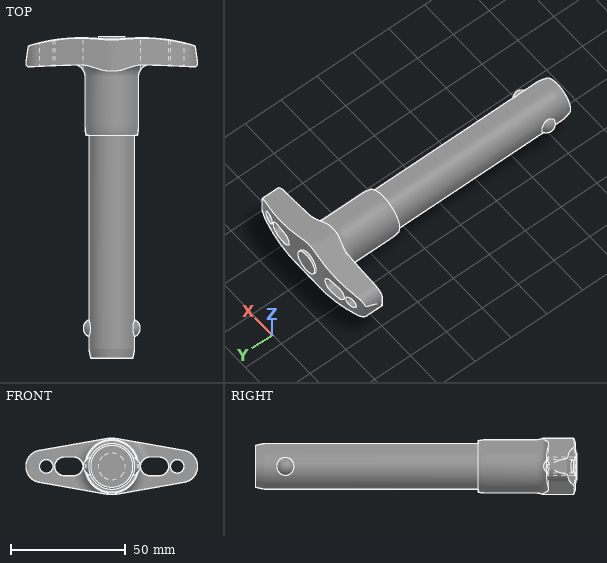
import math

import cadquery as cq


overall_length = 140.1
shank_radius = 10.0
shank_length = 97.0
tip_height = 4.2
tip_radius = 9.15
tip_bulge = 0.1
collar_radius = 11.7
shoulder_radius = 11.25
shoulder_edge_radius = 11.55
shoulder_edge_y = 1.65
shoulder_taper_top_y = 3.8
flare_radius = 5.0
collar_root_depth = 1.0

ball_radius = 4.0
ball_offset = 8.4
ball_to_tip = 13.1
ball_y = ball_to_tip - shank_length

handle_half_length = 37.4
handle_half_depth = 12.33
end_radius = 7.1
side_taper = math.radians(10.0)

button_radius = 5.85
button_top_y = overall_length - shank_length
button_height_over_crest = 0.45
crest_y = button_top_y - button_height_over_crest
crest_x = 12.8
dip_depth = 0.6
crown_radius = 78.0
end_to_button_top = 13.3
underside_end_y = button_top_y - end_to_button_top
underside_rise = 1.1
underside_y = underside_end_y + underside_rise
underside_hollow_reach = 36.0
end_draft = math.radians(8.0)
end_draft_start_height = 1.9
end_draft_start_y = underside_end_y + end_draft_start_height
lower_corner_radius = 1.6
upper_corner_radius = 0.7
cross_crown_radius = 150.0

slot_x = 18.65
slot_length = 12.2
slot_width = 8.0
hole_x = 28.5
hole_diameter = 5.8


def prism_along_pin(outline):
    """Extrude an XZ outline through the full height of the handle and collar."""
    return outline.extrude(-button_top_y)


def handle_outline():
    """Tapered diamond outline with rounded middle corners and full-round ends."""
    end_x = handle_half_length - end_radius
    side_distance = end_radius + end_x * math.sin(side_taper)
    middle_radius = (side_distance - handle_half_depth * math.cos(side_taper)) / (1 - math.cos(side_taper))
    middle_z = handle_half_depth - middle_radius
    middle_tangent = (
        middle_radius * math.sin(side_taper),
        middle_z + middle_radius * math.cos(side_taper),
    )
    end_tangent = (
        end_x + end_radius * math.sin(side_taper),
        end_radius * math.cos(side_taper),
    )
    return (
        cq.Workplane("XZ")
        .moveTo(-middle_tangent[0], middle_tangent[1])
        .threePointArc((0, handle_half_depth), middle_tangent)
        .lineTo(*end_tangent)
        .threePointArc((handle_half_length, 0), (end_tangent[0], -end_tangent[1]))
        .lineTo(middle_tangent[0], -middle_tangent[1])
        .threePointArc((0, -handle_half_depth), (-middle_tangent[0], -middle_tangent[1]))
        .lineTo(-end_tangent[0], -end_tangent[1])
        .threePointArc((-handle_half_length, 0), (-end_tangent[0], end_tangent[1]))
        .close()
    )


def crown_drop(x):
    """Height lost by the crown arc between its crest and the given X."""
    return crown_radius - math.sqrt(crown_radius**2 - (x - crest_x) ** 2)


def handle_bar():
    """Bar with drafted ends, a crowned top and a hollowed underside."""
    draft_slope = math.tan(end_draft)
    bottom_x = handle_half_length + end_draft_start_height * draft_slope
    top_x = handle_half_length - (button_top_y - end_draft_start_y) * draft_slope
    block = (
        cq.Workplane("XY")
        .polyline([
            (-bottom_x, underside_end_y),
            (-top_x, button_top_y),
            (top_x, button_top_y),
            (bottom_x, underside_end_y),
        ])
        .close()
        .extrude(handle_half_depth, both=True)
    )
    block = block.edges("|Z").edges("<Y").fillet(lower_corner_radius)
    bar = block.intersect(crowned_top())
    for end_face in ("<X", ">X"):
        bar = bar.faces(end_face).edges(">Y").fillet(upper_corner_radius)
    return bar.cut(underside_hollow())


def underside_sphere():
    """Radius and centre height of the very shallow sphere that hollows the underside."""
    radius = (underside_hollow_reach**2 + underside_rise**2) / (2 * underside_rise)
    return radius, underside_y - radius


def underside_hollow():
    """Shallow spherical cap removed from the underside."""
    radius, centre_y = underside_sphere()
    mid_x = underside_hollow_reach / 2
    mid_y = centre_y + math.sqrt(radius**2 - mid_x**2)
    return (
        cq.Workplane("XY")
        .moveTo(0, underside_end_y)
        .lineTo(underside_hollow_reach, underside_end_y)
        .threePointArc((mid_x, mid_y), (0, underside_y))
        .close()
        .revolve(360, (0, 0, 0), (0, 1, 0))
    )


def crowned_top():
    """Body under the doubly curved top: its XY profile swung about an axis far below the handle."""
    axis_y = crest_y - cross_crown_radius
    inflection_x = crest_x / 2
    inflection_y = crest_y - dip_depth / 2
    outer_x = handle_half_length + end_radius
    outer_y = crest_y - crown_drop(outer_x)
    mid_x = (crest_x + outer_x) / 2
    mid_y = crest_y - crown_drop(mid_x)
    return (
        cq.Workplane("XY")
        .moveTo(-outer_x, axis_y)
        .lineTo(-outer_x, outer_y)
        .threePointArc((-mid_x, mid_y), (-crest_x, crest_y))
        .tangentArcPoint((-inflection_x, inflection_y), relative=False)
        .threePointArc((0, crest_y - dip_depth), (inflection_x, inflection_y))
        .tangentArcPoint((crest_x, crest_y), relative=False)
        .threePointArc((mid_x, mid_y), (outer_x, outer_y))
        .lineTo(outer_x, axis_y)
        .close()
        .revolve(360, (0, axis_y, 0), (1, axis_y, 0))
    )


def collar():
    """Turned collar: stepped taper at the shoulder, flare tangent to the hollowed underside."""
    sphere_radius, sphere_y = underside_sphere()
    centre_x = collar_radius + flare_radius
    centre_y = sphere_y + math.sqrt((sphere_radius - flare_radius) ** 2 - centre_x**2)
    touch_angle = math.atan2(centre_y - sphere_y, centre_x)
    mid_angle = (touch_angle + math.pi) / 2

    def on_flare(angle):
        return (
            centre_x + flare_radius * math.cos(angle),
            centre_y + flare_radius * math.sin(angle),
        )

    touch_point = on_flare(touch_angle)
    root_y = underside_y + collar_root_depth
    return (
        cq.Workplane("XY")
        .lineTo(shoulder_radius, 0)
        .lineTo(shoulder_edge_radius, shoulder_edge_y)
        .lineTo(collar_radius, shoulder_taper_top_y)
        .lineTo(collar_radius, centre_y)
        .threePointArc(on_flare(mid_angle), touch_point)
        .lineTo(touch_point[0], root_y)
        .lineTo(0, root_y)
        .close()
        .revolve(360, (0, 0, 0), (0, 1, 0))
    )


def openings():
    """Slot and round hole through each wing of the handle."""
    wings = [-1, 1]
    slots = cq.Workplane("XZ").pushPoints([(side * slot_x, 0) for side in wings]).slot2D(slot_length, slot_width)
    holes = cq.Workplane("XZ").pushPoints([(side * hole_x, 0) for side in wings]).circle(hole_diameter / 2)
    return prism_along_pin(slots).union(prism_along_pin(holes))


def button():
    """Round release button standing in the dip of the handle."""
    base = cq.Workplane("XZ", origin=(0, underside_y, 0))
    return base.circle(button_radius).extrude(underside_y - button_top_y)


def shank():
    """Turned shank with a slightly bulged taper at the tip."""
    tip_y = -shank_length
    taper_mid = ((shank_radius + tip_radius) / 2 + tip_bulge, tip_y + tip_height / 2)
    return (
        cq.Workplane("XY")
        .moveTo(0, tip_y)
        .lineTo(tip_radius, tip_y)
        .threePointArc(taper_mid, (shank_radius, tip_y + tip_height))
        .lineTo(shank_radius, shoulder_taper_top_y)
        .lineTo(0, shoulder_taper_top_y)
        .close()
        .revolve(360, (0, 0, 0), (0, 1, 0))
    )


def locking_balls():
    """Pair of balls standing out of the shank near its tip."""
    centres = [(-ball_offset, ball_y, 0), (ball_offset, ball_y, 0)]
    return cq.Workplane("XY").pushPoints(centres).sphere(ball_radius)


head = handle_bar().union(collar()).intersect(prism_along_pin(handle_outline()))
result = head.cut(openings()).union(button()).union(shank()).union(locking_balls())